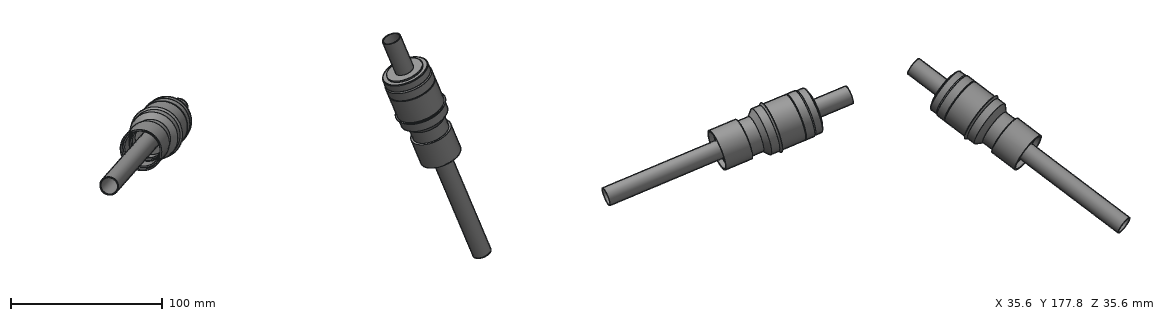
import cadquery as cq


tube_length = 177.8
tube_radius = 6.4
tube_wall = 0.7
tube_front = -tube_length / 2
tube_bore_radius = tube_radius - tube_wall

collar_radius = 14.2
neck_radius = 12.6
body_radius = 16.5
flange_radius = 17.8
cap_radius = 16.0
end_disc_radius = neck_radius

collar_front = -7.8
collar_length = 19.4
neck_length = 8.9
body_cone_length = body_radius - neck_radius
front_band_length = 5.9
flange_cone_length = 1.6
barrel_length = 17.5
groove_width = 0.5
groove_depth = 0.2
rear_band_length = 6.0
cap_step_length = 1.0
cap_length = 5.3
end_disc_length = 1.0
cap_chamfer = 0.5

collar_back = collar_front + collar_length
neck_back = collar_back + neck_length
body_cone_back = neck_back + body_cone_length
front_band_back = body_cone_back + front_band_length
flange_back = front_band_back + flange_cone_length
barrel_back = flange_back + barrel_length
groove_back = barrel_back + groove_width
rear_band_back = groove_back + rear_band_length
cap_front = rear_band_back + cap_step_length
cap_back = cap_front + cap_length
end_disc_back = cap_back + end_disc_length

socket_steps = [(13.2, 3.5), (12.1, 14.2), (11.5, 17.8), (10.7, 24.9)]


def revolve_about_y(points):
    return cq.Workplane("XY").polyline(points).close().revolve(360, (0, 0, 0), (0, 1, 0))


def cylinder_along_y(radius, start, length):
    return revolve_about_y([(0, start), (radius, start), (radius, start + length), (0, start + length)])


def coupling_body():
    return revolve_about_y([
        (0, collar_front),
        (collar_radius, collar_front),
        (collar_radius, collar_back),
        (neck_radius, collar_back),
        (neck_radius, neck_back),
        (body_radius, body_cone_back),
        (body_radius, front_band_back),
        (flange_radius, flange_back),
        (body_radius, flange_back),
        (body_radius, barrel_back),
        (body_radius - groove_depth, barrel_back),
        (body_radius - groove_depth, groove_back),
        (body_radius, groove_back),
        (body_radius, rear_band_back),
        (cap_radius, cap_front),
        (cap_radius, cap_back - cap_chamfer),
        (cap_radius - cap_chamfer, cap_back),
        (end_disc_radius, cap_back),
        (end_disc_radius, end_disc_back),
        (0, end_disc_back),
    ])


coupling = coupling_body()
for step_radius, step_depth in socket_steps:
    coupling = coupling.cut(cylinder_along_y(step_radius, collar_front, step_depth))

tube = cylinder_along_y(tube_radius, tube_front, tube_length)
tube_bore = cylinder_along_y(tube_bore_radius, tube_front, tube_length)

result = coupling.union(tube).cut(tube_bore)